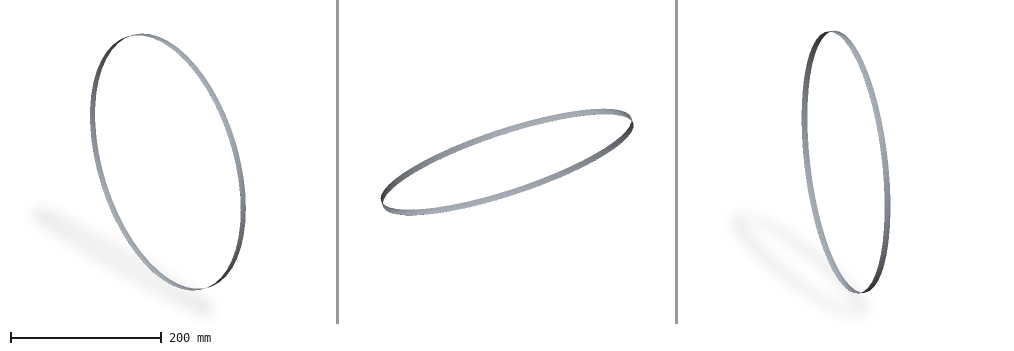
import cadquery as cq

outer_diameter = 350.2
wall_thickness = 0.25
band_width = 8.0

inner_diameter = outer_diameter - 2 * wall_thickness

result = (
    cq.Workplane("XZ", origin=(0, band_width / 2, 0))
    .circle(outer_diameter / 2)
    .circle(inner_diameter / 2)
    .extrude(band_width)
)